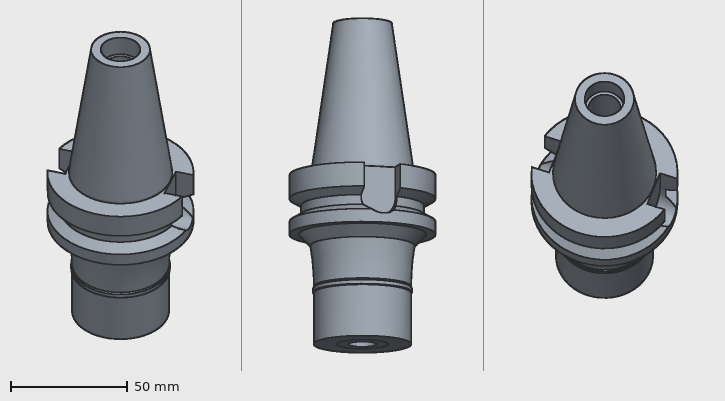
import cadquery as cq
import math


GAUGE_Z = 75.0
GAUGE_DIA = 44.45
TAPER_LENGTH = 65.4
TAPER_RATIO = 7 / 24
SHANK_TOP_Z = GAUGE_Z + TAPER_LENGTH
SHANK_TOP_DIA = GAUGE_DIA - TAPER_LENGTH * TAPER_RATIO

FLANGE_DIA = 63.0
FLANGE_TOP_Z = GAUGE_Z - 1.0
FLANGE_BOTTOM_Z = GAUGE_Z - 27.0
GROOVE_DIA = 53.0
GROOVE_CENTRE_Z = 58.6
GROOVE_FLOOR_WIDTH = 4.2
GROOVE_SIDE_ANGLE = 30.0
GROOVE_SIDE_RISE = (FLANGE_DIA - GROOVE_DIA) / 2 * math.tan(math.radians(GROOVE_SIDE_ANGLE))

SLOT_WIDTH = 16.1
SLOT_FLOOR_X = 22.5
SLOT_BOTTOM_Z = 52.0

UNDERCUT_HEIGHT = 5.0
BODY_TOP_DIA = 45.0
BODY_BOTTOM_DIA = 42.0
BODY_BOTTOM_Z = 25.2
NECK_DIA = 33.0
NOSE_Z = 8.0

COUNTERBORE_DIA = 17.0
COUNTERBORE_DEPTH = 9.0
THROUGH_DIA = 14.0

COLLET_DIA = 26.0
COLLET_TAPER_ANGLE = 8.0
COLLET_BACK_Z = 34.0
COLLET_BACK_DIA = COLLET_DIA - 2 * (COLLET_BACK_Z - NOSE_Z) * math.tan(math.radians(COLLET_TAPER_ANGLE))
COLLET_FRONT_DIA = 22.0
COLLET_SHOULDER_ANGLE = 30.0
COLLET_SHOULDER_Z = NOSE_Z - (COLLET_DIA - COLLET_FRONT_DIA) / 2 / math.tan(
    math.radians(COLLET_SHOULDER_ANGLE)
)
COLLET_BORE_DIA = 12.2
COLLET_BORE_CHAMFER = 0.5

NUT_DIA = 42.0
NUT_TOP_Z = 24.4
NUT_COLLAR_DIA = 42.7
NUT_COLLAR_BOTTOM_Z = 22.7
NUT_COLLAR_CHAMFER = (NUT_COLLAR_DIA - NUT_DIA) / 2


def turned(outline):
    """Revolve a closed (radius, z) outline, drawn in the XZ plane, about the Z axis."""
    return outline.close().revolve(360, (0, 0, 0), (0, 1, 0))


def body_arc_middle():
    """Middle point of the concave side of the body, whose arc ends vertical at the bottom."""
    height = FLANGE_BOTTOM_Z - UNDERCUT_HEIGHT - BODY_BOTTOM_Z
    flare = (BODY_TOP_DIA - BODY_BOTTOM_DIA) / 2
    arc_radius = (height**2 + flare**2) / (2 * flare)
    half_angle = math.asin(height / arc_radius) / 2
    radius = BODY_BOTTOM_DIA / 2 + arc_radius * (1 - math.cos(half_angle))
    return radius, BODY_BOTTOM_Z + arc_radius * math.sin(half_angle)


def drive_slot():
    """Round-bottomed slot cutter, open at the flange top, on the +X side."""
    slot_radius = SLOT_WIDTH / 2
    round_centre_z = SLOT_BOTTOM_Z + slot_radius
    return (
        cq.Workplane("YZ", origin=(SLOT_FLOOR_X, 0, 0))
        .moveTo(-slot_radius, FLANGE_TOP_Z)
        .lineTo(-slot_radius, round_centre_z)
        .threePointArc((0, SLOT_BOTTOM_Z), (slot_radius, round_centre_z))
        .lineTo(slot_radius, FLANGE_TOP_Z)
        .close()
        .extrude(FLANGE_DIA / 2)
    )


def make_holder():
    groove_top_z = GROOVE_CENTRE_Z + GROOVE_FLOOR_WIDTH / 2
    groove_bottom_z = GROOVE_CENTRE_Z - GROOVE_FLOOR_WIDTH / 2
    undercut_z = FLANGE_BOTTOM_Z - UNDERCUT_HEIGHT
    counterbore_z = SHANK_TOP_Z - COUNTERBORE_DEPTH
    outline = (
        cq.Workplane("XZ")
        .moveTo(COUNTERBORE_DIA / 2, SHANK_TOP_Z)
        .lineTo(SHANK_TOP_DIA / 2, SHANK_TOP_Z)
        .lineTo(GAUGE_DIA / 2, GAUGE_Z)
        .lineTo(GAUGE_DIA / 2, FLANGE_TOP_Z)
        .lineTo(FLANGE_DIA / 2, FLANGE_TOP_Z)
        .lineTo(FLANGE_DIA / 2, groove_top_z + GROOVE_SIDE_RISE)
        .lineTo(GROOVE_DIA / 2, groove_top_z)
        .lineTo(GROOVE_DIA / 2, groove_bottom_z)
        .lineTo(FLANGE_DIA / 2, groove_bottom_z - GROOVE_SIDE_RISE)
        .lineTo(FLANGE_DIA / 2, FLANGE_BOTTOM_Z)
        .lineTo(BODY_TOP_DIA / 2 + UNDERCUT_HEIGHT, FLANGE_BOTTOM_Z)
        .lineTo(BODY_TOP_DIA / 2, undercut_z)
        .threePointArc(body_arc_middle(), (BODY_BOTTOM_DIA / 2, BODY_BOTTOM_Z))
        .lineTo(NECK_DIA / 2, BODY_BOTTOM_Z)
        .lineTo(NECK_DIA / 2, NOSE_Z)
        .lineTo(COLLET_DIA / 2, NOSE_Z)
        .lineTo(COLLET_BACK_DIA / 2, COLLET_BACK_Z)
        .lineTo(THROUGH_DIA / 2, COLLET_BACK_Z)
        .lineTo(THROUGH_DIA / 2, counterbore_z)
        .lineTo(COUNTERBORE_DIA / 2, counterbore_z)
    )
    holder = turned(outline)
    for angle in (0, 180):
        holder = holder.cut(drive_slot().rotate((0, 0, 0), (0, 0, 1), angle))
    return holder


def make_collet():
    bore_radius = COLLET_BORE_DIA / 2
    outline = (
        cq.Workplane("XZ")
        .moveTo(bore_radius, 0)
        .lineTo(COLLET_FRONT_DIA / 2, 0)
        .lineTo(COLLET_FRONT_DIA / 2, COLLET_SHOULDER_Z)
        .lineTo(COLLET_DIA / 2, NOSE_Z)
        .lineTo(COLLET_BACK_DIA / 2, COLLET_BACK_Z)
        .lineTo(bore_radius + COLLET_BORE_CHAMFER, COLLET_BACK_Z)
        .lineTo(bore_radius, COLLET_BACK_Z - COLLET_BORE_CHAMFER)
    )
    return turned(outline)


def make_nut():
    outline = (
        cq.Workplane("XZ")
        .moveTo(COLLET_FRONT_DIA / 2, 0)
        .lineTo(NUT_DIA / 2, 0)
        .lineTo(NUT_DIA / 2, NUT_COLLAR_BOTTOM_Z - NUT_COLLAR_CHAMFER)
        .lineTo(NUT_COLLAR_DIA / 2, NUT_COLLAR_BOTTOM_Z)
        .lineTo(NUT_COLLAR_DIA / 2, NUT_TOP_Z)
        .lineTo(NECK_DIA / 2, NUT_TOP_Z)
        .lineTo(NECK_DIA / 2, NOSE_Z)
        .lineTo(COLLET_DIA / 2, NOSE_Z)
        .lineTo(COLLET_FRONT_DIA / 2, COLLET_SHOULDER_Z)
    )
    return turned(outline)


holder = make_holder()
collet = make_collet()
nut = make_nut()

result = cq.Compound.makeCompound([holder.val(), collet.val(), nut.val()])